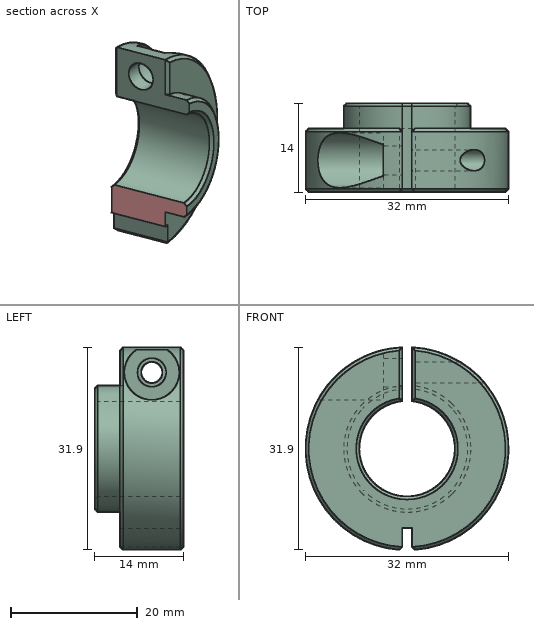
import cadquery as cq
import math

collar_diameter = 32.0
collar_radius = collar_diameter / 2
collar_width = 10.0
hub_diameter = 20.0
hub_length = 4.0
bore_diameter = 15.0
chamfer = 0.5

slit_width = 1.5
relief_floor = 12.5

screw_height = 12.0
screw_seat_offset = 3.75
head_diameter = 8.65
clearance_diameter = 4.5
thread_diameter = 3.3

total_width = collar_width + hub_length
half_slit = slit_width / 2


def disc(diameter, start, length):
    """Cylinder on the bore axis, growing in +Y from the given start."""
    plane = cq.Plane(origin=(0, start, 0), xDir=(1, 0, 0), normal=(0, 1, 0))
    return cq.Workplane(plane).circle(diameter / 2).extrude(length)


def screw_cylinder(diameter, start, end):
    """Cylinder on the screw axis between two X positions."""
    plane = cq.Plane(origin=(start, collar_width / 2, screw_height), xDir=(0, 1, 0), normal=(1, 0, 0))
    return cq.Workplane(plane).circle(diameter / 2).extrude(end - start)


def slit_bevel(face_position, depth_direction):
    """Trapezoid bar that bevels both slit edges at one end face."""
    bevelled_half = half_slit + chamfer
    bevel_end = face_position + depth_direction * chamfer
    return (
        cq.Workplane("XY")
        .moveTo(-bevelled_half, face_position)
        .lineTo(bevelled_half, face_position)
        .lineTo(half_slit, bevel_end)
        .lineTo(-half_slit, bevel_end)
        .close()
        .extrude(collar_radius)
    )


def make_body():
    """Chamfered collar and hub with a bore chamfered at both ends."""
    collar = disc(collar_diameter, 0, collar_width).edges().chamfer(chamfer)
    hub = disc(hub_diameter, collar_width / 2, total_width - collar_width / 2)
    hub = hub.faces(">Y").edges().chamfer(chamfer)
    body = collar.union(hub).cut(disc(bore_diameter, 0, total_width))
    for end_face in ("<Y", ">Y"):
        bore_rim = body.faces(end_face).edges(cq.selectors.RadiusNthSelector(0))
        body = bore_rim.chamfer(chamfer)
    return body


def make_slit():
    """Slit through the top wall, bevelled at the front face and at the collar's rear face."""
    slit = cq.Workplane("XY").box(slit_width, total_width, collar_radius, centered=(True, False, False))
    rear_bevel = slit_bevel(collar_width, -1).cut(disc(hub_diameter, 0, total_width))
    return slit.union(slit_bevel(0, 1)).union(rear_bevel)


def make_relief_slot():
    """Blind slot opposite the slit, with bevelled outer corners."""
    bevelled_half = half_slit + chamfer
    edge_height = math.sqrt(collar_radius**2 - bevelled_half**2)
    return (
        cq.Workplane("XZ")
        .moveTo(-half_slit, -relief_floor)
        .lineTo(half_slit, -relief_floor)
        .lineTo(half_slit, chamfer - edge_height)
        .lineTo(bevelled_half, -edge_height)
        .lineTo(bevelled_half, -collar_radius)
        .lineTo(-bevelled_half, -collar_radius)
        .lineTo(-bevelled_half, -edge_height)
        .lineTo(-half_slit, chamfer - edge_height)
        .close()
        .extrude(-total_width)
    )


def make_screw_hole():
    """Head pocket and clearance hole on the -X half, threaded hole through the +X half."""
    head_pocket = screw_cylinder(head_diameter, -collar_radius, -screw_seat_offset)
    clearance_hole = screw_cylinder(clearance_diameter, -screw_seat_offset, 0)
    threaded_hole = screw_cylinder(thread_diameter, 0, collar_radius)
    return head_pocket.union(clearance_hole).union(threaded_hole)


result = make_body().cut(make_slit()).cut(make_relief_slot()).cut(make_screw_hole())